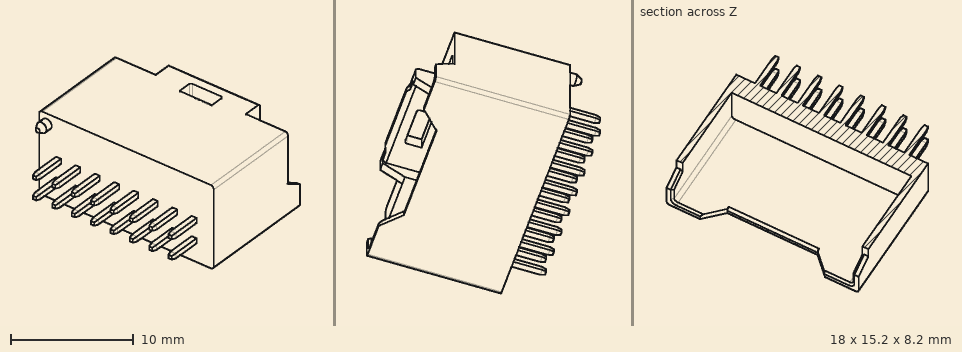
import cadquery as cq


WIDTH = 18.0
HEIGHT = 8.2
CORNER_RADIUS = 0.3
SHOULDER_Y = 9.88
LIP_Y = 11.5
LIP_END_HEIGHT = 2.23
LIP_ROOT_HEIGHT = 3.13

WALL = 0.6
BASE_THICKNESS = 1.8
CAVITY_TOP = 5.5
CAVITY_RADIUS = 0.36
MOUTH_CHAMFER = 0.2

TONGUE_WIDTH = 9.29
TONGUE_Y = 11.79
CHEEK_END_Z = 6.7
CHEEK_THICKNESS = 0.68
CHANNEL_TOP = 6.88
NOSE_Y = 11.99
NOSE_CHAMFER = 0.4
NOSE_ROOT_WIDTH = 6.34
NOSE_TIP_WIDTH = 5.5

WINDOW_WIDTH = 3.35
WINDOW_START_Y = 9.22
WINDOW_END_Y = 10.67
WINDOW_RADIUS = 0.2
NOTCH_MOUTH_WIDTH = 11.7
NOTCH_CHAMFER = 0.25

PIN_COLUMNS = 8
PIN_ROWS = 2
PIN_PITCH = 2.0
PIN_SIZE = 0.5
PIN_TIP_SIZE = 0.35
PIN_LENGTH = 3.2
PIN_TAPER = 0.41
LOWER_ROW_Z = 2.1

PEG_X = -8.2
PEG_Z = 7.18
PEG_DIAMETER = 1.0
PEG_TIP_DIAMETER = 0.43
PEG_STRAIGHT = 0.68
PEG_LENGTH = 1.2


def block(width, y_start, y_end, z_start, z_end):
    """Box centred on X = 0 between the given Y and Z limits."""
    size = (width, y_end - y_start, z_end - z_start)
    return cq.Workplane("XY").box(*size, centered=(True, False, False)).translate((0, y_start, z_start))


def side_extrusion(points, width):
    """Extrude a (Y, Z) outline along X, centred on X = 0."""
    return cq.Workplane("YZ").polyline(points).close().extrude(width / 2, both=True)


def make_shell():
    """Rounded block whose side walls slope down to the floor lip."""
    outline = [
        (0, 0),
        (LIP_Y, 0),
        (LIP_Y, LIP_END_HEIGHT),
        (SHOULDER_Y, LIP_ROOT_HEIGHT),
        (SHOULDER_Y, HEIGHT),
        (0, HEIGHT),
    ]
    return side_extrusion(outline, WIDTH).edges("|Y").fillet(CORNER_RADIUS)


def make_tongue():
    """Overhanging latch tongue with a raised nose in the middle of its end."""
    outline = [
        (SHOULDER_Y, HEIGHT),
        (NOSE_Y - NOSE_CHAMFER, HEIGHT),
        (NOSE_Y, HEIGHT - NOSE_CHAMFER),
        (NOSE_Y, CHEEK_END_Z),
        (TONGUE_Y, CHEEK_END_Z),
        (SHOULDER_Y, CAVITY_TOP),
    ]
    half_width = TONGUE_WIDTH / 2
    plan = [
        (-half_width, SHOULDER_Y),
        (half_width, SHOULDER_Y),
        (half_width, TONGUE_Y),
        (NOSE_ROOT_WIDTH / 2, TONGUE_Y),
        (NOSE_TIP_WIDTH / 2, NOSE_Y),
        (-NOSE_TIP_WIDTH / 2, NOSE_Y),
        (-NOSE_ROOT_WIDTH / 2, TONGUE_Y),
        (-half_width, TONGUE_Y),
    ]
    plan_prism = cq.Workplane("XY").polyline(plan).close().extrude(HEIGHT)
    return side_extrusion(outline, TONGUE_WIDTH).intersect(plan_prism)


def make_cavity():
    """Plug cavity, open toward +Y."""
    cavity = block(WIDTH - 2 * WALL, BASE_THICKNESS, NOSE_Y, WALL, CAVITY_TOP)
    return cavity.edges("|Y").fillet(CAVITY_RADIUS)


def make_channel():
    """Latch channel above the cavity, flaring upward at the nose."""
    flare = NOSE_Y - LIP_Y
    outline = [
        (BASE_THICKNESS, CAVITY_TOP - CAVITY_RADIUS),
        (BASE_THICKNESS, CHANNEL_TOP),
        (LIP_Y, CHANNEL_TOP),
        (NOSE_Y, CHANNEL_TOP + flare),
        (NOSE_Y, CAVITY_TOP - CAVITY_RADIUS),
    ]
    return side_extrusion(outline, TONGUE_WIDTH - 2 * CHEEK_THICKNESS)


def make_window():
    """Latch window through the tongue, rounded at its outer end."""
    mid_height = (CAVITY_TOP + CHANNEL_TOP) / 2
    window = block(WINDOW_WIDTH, WINDOW_START_Y, WINDOW_END_Y, mid_height, HEIGHT)
    return window.edges("|Z and >Y").fillet(WINDOW_RADIUS)


def make_notch():
    """Notch in the floor lip with 45 degree flanks and a chamfered inner end."""
    root_half = NOTCH_MOUTH_WIDTH / 2 - (LIP_Y - SHOULDER_Y)
    plan = [
        (-root_half, SHOULDER_Y),
        (root_half, SHOULDER_Y),
        (NOTCH_MOUTH_WIDTH / 2, LIP_Y),
        (-NOTCH_MOUTH_WIDTH / 2, LIP_Y),
    ]
    notch = cq.Workplane("XY").polyline(plan).close().extrude(WALL)
    bevel = [
        (SHOULDER_Y - NOTCH_CHAMFER, WALL),
        (SHOULDER_Y, WALL),
        (SHOULDER_Y, WALL - NOTCH_CHAMFER),
    ]
    return notch.union(side_extrusion(bevel, 2 * root_half))


def chamfer_mouth(housing):
    """Bevel the inner rim of the cavity along the lip and up its sloping sides."""
    inner_half = WIDTH / 2 - WALL
    reach = 0.02
    rim = housing.edges(cq.selectors.BoxSelector(
        (-inner_half - reach, SHOULDER_Y + reach, WALL - reach),
        (inner_half + reach, LIP_Y + reach, LIP_ROOT_HEIGHT),
    ))
    mouth_edges = rim.edges("not |Y")
    mouth_edges = mouth_edges.filter(lambda edge: abs(edge.Center().x) > NOTCH_MOUTH_WIDTH / 2 + reach)
    return mouth_edges.chamfer(MOUTH_CHAMFER)


def make_pin(x, z):
    """Square pin with a tapered tip, pointing toward -Y."""
    straight = PIN_LENGTH - PIN_TAPER
    shank = cq.Workplane("XZ").rect(PIN_SIZE, PIN_SIZE).extrude(straight)
    tip = (
        cq.Workplane("XZ", origin=(0, -straight, 0))
        .rect(PIN_SIZE, PIN_SIZE)
        .workplane(offset=PIN_TAPER)
        .rect(PIN_TIP_SIZE, PIN_TIP_SIZE)
        .loft(ruled=True)
    )
    return shank.union(tip).translate((x, 0, z))


def make_peg():
    """Round locating peg with a conical tip, pointing toward -Y."""
    half_profile = [
        (0, 0),
        (PEG_DIAMETER / 2, 0),
        (PEG_DIAMETER / 2, -PEG_STRAIGHT),
        (PEG_TIP_DIAMETER / 2, -PEG_LENGTH),
        (0, -PEG_LENGTH),
    ]
    peg = cq.Workplane("XY").polyline(half_profile).close().revolve(360, (0, 0), (0, 1))
    return peg.translate((PEG_X, 0, PEG_Z))


housing = make_shell().union(make_tongue())
housing = housing.cut(make_cavity()).cut(make_channel())
housing = housing.cut(make_window()).cut(make_notch())
result = chamfer_mouth(housing).union(make_peg())

for row in range(PIN_ROWS):
    for column in range(PIN_COLUMNS):
        pin_x = (column - (PIN_COLUMNS - 1) / 2) * PIN_PITCH
        result = result.union(make_pin(pin_x, LOWER_ROW_Z + row * PIN_PITCH))